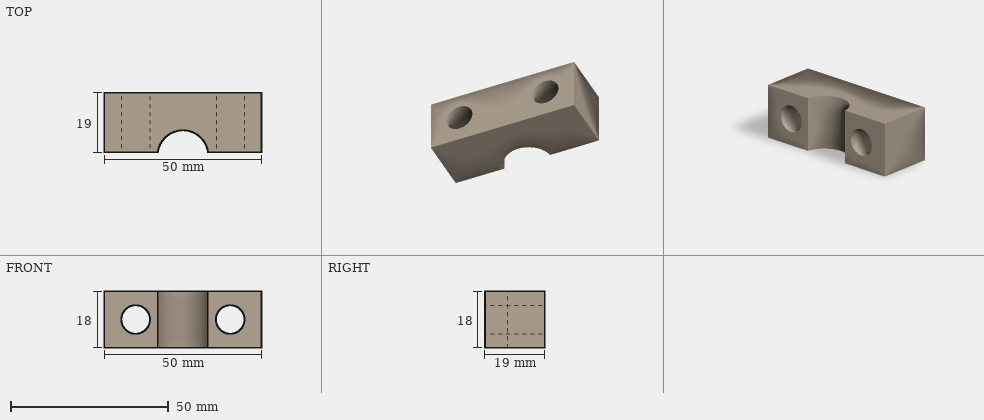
import cadquery as cq

length = 50.0
depth = 19.0
height = 18.0

saddle_radius = 8.0
saddle_axis_offset = 1.0

bolt_hole_diameter = 9.0
bolt_hole_spacing = 30.0

front_y = -depth / 2


def make_block():
    return cq.Workplane("XY").box(length, depth, height)


def cut_saddle(body):
    """Cut the vertical round channel that seats the clamped bar."""
    saddle = (
        cq.Workplane("XY")
        .center(0, front_y - saddle_axis_offset)
        .circle(saddle_radius)
        .extrude(height, both=True)
    )
    return body.cut(saddle)


def cut_bolt_holes(body):
    """Cut the two through holes, one on each side of the saddle."""
    half_spacing = bolt_hole_spacing / 2
    holes = (
        cq.Workplane("XZ")
        .pushPoints([(-half_spacing, 0), (half_spacing, 0)])
        .circle(bolt_hole_diameter / 2)
        .extrude(depth, both=True)
    )
    return body.cut(holes)


result = cut_bolt_holes(cut_saddle(make_block()))